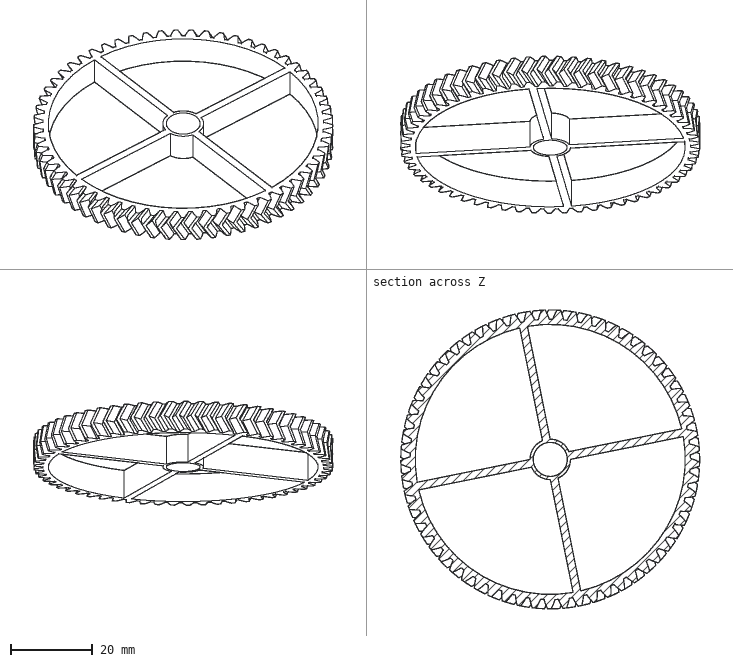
import cadquery as cq
import math

TOOTH_COUNT = 61
OUTER_RADIUS = 36.6
ROOT_RADIUS = 34.3
PITCH_RADIUS = OUTER_RADIUS * TOOTH_COUNT / (TOOTH_COUNT + 2)
PRESSURE_ANGLE = math.radians(23)
BASE_RADIUS = PITCH_RADIUS * math.cos(PRESSURE_ANGLE)
TOOTH_PITCH = 2 * math.pi / TOOTH_COUNT
PITCH_HALF_ANGLE = 0.27 * TOOTH_PITCH
FACE_WIDTH = 7.0
HALF_WIDTH = FACE_WIDTH / 2
HELIX_ANGLE = math.radians(30)
TWIST = HALF_WIDTH * math.tan(HELIX_ANGLE) / PITCH_RADIUS

END_TOOTH_ANGLE = 0.25 * TOOTH_PITCH

RIM_INNER_RADIUS = 33.0
HUB_DIAMETER = 9.95
BORE_DIAMETER = 8.3
SPOKE_COUNT = 4
SPOKE_THICKNESS = 2.0
SPOKE_ANGLE = 11.4


def polar(radius, angle):
    return radius * math.cos(angle), radius * math.sin(angle)


def involute(angle):
    return math.tan(angle) - angle


def tooth_half_angle(radius):
    """Half the angle that an involute tooth covers at the given radius."""
    local_pressure = math.acos(BASE_RADIUS / radius)
    return PITCH_HALF_ANGLE + involute(PRESSURE_ANGLE) - involute(local_pressure)


def gear_outline(first_tooth_angle):
    """Closed outline of all teeth: flank, tip arc, flank and root arc for each tooth."""
    root_half = tooth_half_angle(ROOT_RADIUS)
    tip_half = tooth_half_angle(OUTER_RADIUS)
    mid_radius = (ROOT_RADIUS + OUTER_RADIUS) / 2
    mid_half = tooth_half_angle(mid_radius)

    outline = cq.Workplane("XY").moveTo(*polar(ROOT_RADIUS, first_tooth_angle - root_half))
    for tooth in range(TOOTH_COUNT):
        centre = first_tooth_angle + tooth * TOOTH_PITCH
        gap_centre = centre + TOOTH_PITCH / 2
        next_root = centre + TOOTH_PITCH - root_half
        outline = (
            outline
            .threePointArc(polar(mid_radius, centre - mid_half), polar(OUTER_RADIUS, centre - tip_half))
            .threePointArc(polar(OUTER_RADIUS, centre), polar(OUTER_RADIUS, centre + tip_half))
            .threePointArc(polar(mid_radius, centre + mid_half), polar(ROOT_RADIUS, centre + root_half))
            .threePointArc(polar(ROOT_RADIUS, gap_centre), polar(ROOT_RADIUS, next_root))
        )
    return outline.close()


def toothed_ring():
    """Herringbone ring: a twisted upper half and its mirror image below the XY plane."""
    middle_tooth_angle = END_TOOTH_ANGLE - TWIST
    upper = gear_outline(middle_tooth_angle).twistExtrude(HALF_WIDTH, math.degrees(TWIST))
    opening = plate(RIM_INNER_RADIUS)
    upper = upper.cut(opening)
    return upper.union(upper.mirror("XY"))


def plate(radius):
    """Full-width disc centred on the XY plane."""
    return cq.Workplane("XY").circle(radius).extrude(HALF_WIDTH, both=True)


def spokes():
    """Radial bars from the axis into the middle of the rim."""
    length = (RIM_INNER_RADIUS + ROOT_RADIUS) / 2
    bar = cq.Workplane("XY").box(length, SPOKE_THICKNESS, FACE_WIDTH, centered=(False, True, True))
    bars = cq.Workplane("XY")
    for index in range(SPOKE_COUNT):
        angle = SPOKE_ANGLE + index * 360 / SPOKE_COUNT
        bars = bars.union(bar.rotate((0, 0, 0), (0, 0, 1), angle))
    return bars


result = (
    toothed_ring()
    .union(spokes())
    .union(plate(HUB_DIAMETER / 2))
    .cut(plate(BORE_DIAMETER / 2))
)